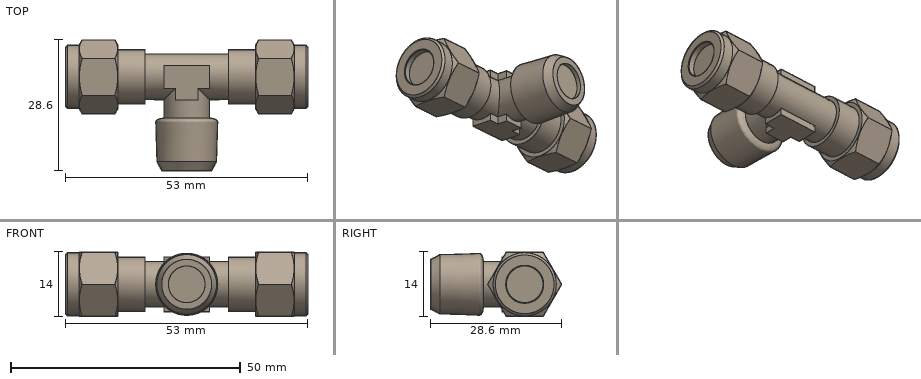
import cadquery as cq
import math

run_half_length = 26.5
tube_radius = 5.0
collar_start = 9.1
collar_radius = 5.95

nut_start = 15.0
nut_end = 23.5
nut_across_flats = 14.0
nut_sides = 6
nut_corner_radius = nut_across_flats / 2 / math.cos(math.pi / nut_sides)
nut_bevel_radius = 6.9
nut_bevel_angle = 30.0
rim_radius = 6.9
rim_chamfer = 0.5

branch_length = 20.5
thread_start = 9.0
thread_shoulder = 0.9
thread_taper = 1 / 32
thread_large_radius = 6.78
thread_tip_length = 2.0
thread_tip_radius = 5.45

bore_radius = 4.0
run_bore_depth = 1.5
run_bore_chamfer = 0.15
branch_bore_depth = 1.0

pad_half_width = 5.0
pad_stem_half_width = 2.5
pad_half_height = 6.0


def revolve_about_x(profile):
    """Turn a closed (x, radius) outline about the X axis."""
    return cq.Workplane("XY").polyline(profile).close().revolve(360, (0, 0, 0), (1, 0, 0))


def make_nut():
    """Hexagon with corners on +/-Y, bevelled at both ends, on the +X end."""
    hexagon = (
        cq.Workplane("YZ")
        .workplane(offset=nut_start)
        .polygon(nut_sides, 2 * nut_corner_radius)
        .extrude(nut_end - nut_start)
    )
    bevel_length = (nut_corner_radius - nut_bevel_radius) * math.tan(math.radians(nut_bevel_angle))
    bevel_envelope = revolve_about_x([
        (nut_start, 0),
        (nut_start, nut_bevel_radius),
        (nut_start + bevel_length, nut_corner_radius),
        (nut_end - bevel_length, nut_corner_radius),
        (nut_end, nut_bevel_radius),
        (nut_end, 0),
    ])
    return hexagon.intersect(bevel_envelope)


def make_run_body():
    """Plain turned run along X, symmetric about X = 0: tube, collars and end rims."""
    right_side = [
        (collar_start, tube_radius),
        (collar_start, collar_radius),
        (nut_end, collar_radius),
        (nut_end, rim_radius),
        (run_half_length - rim_chamfer, rim_radius),
        (run_half_length, rim_radius - rim_chamfer),
        (run_half_length, 0),
    ]
    left_side = [(-x, radius) for x, radius in reversed(right_side)]
    return revolve_about_x(left_side + right_side)


def make_run_bore():
    """Blind bore with a chamfered mouth in the +X end of the run."""
    return revolve_about_x([
        (run_half_length - run_bore_depth, 0),
        (run_half_length - run_bore_depth, bore_radius),
        (run_half_length - run_bore_chamfer, bore_radius),
        (run_half_length, bore_radius + run_bore_chamfer),
        (run_half_length, 0),
    ])


def make_branch():
    """Neck and tapered thread body pointing along -Y, with a blind bore."""
    taper_start = thread_start + thread_shoulder
    taper_end = branch_length - thread_tip_length
    thread_small_radius = thread_large_radius - thread_taper * (taper_end - taper_start)
    bore_floor = branch_length - branch_bore_depth
    shoulder_height = thread_large_radius - tube_radius
    return (
        cq.Workplane("XY")
        .lineTo(tube_radius, 0)
        .lineTo(tube_radius, -thread_start)
        .ellipseArc(shoulder_height, thread_shoulder, 0, 90, sense=-1)
        .lineTo(thread_small_radius, -taper_end)
        .lineTo(thread_tip_radius, -branch_length)
        .lineTo(bore_radius, -branch_length)
        .lineTo(bore_radius, -bore_floor)
        .lineTo(0, -bore_floor)
        .close()
        .revolve(360, (0, 0, 0), (0, 1, 0))
    )


def make_pads():
    """T-shaped prism through the junction whose ends form the top and bottom pads."""
    crossbar = cq.Workplane("XY").box(
        2 * pad_half_width, 2 * pad_stem_half_width, 2 * pad_half_height
    )
    stem = cq.Workplane("XY").box(
        2 * pad_stem_half_width, pad_half_width, 2 * pad_half_height
    ).translate((0, -pad_half_width / 2, 0))
    return crossbar.union(stem)


nut = make_nut()
run_bore = make_run_bore()
run = (
    make_run_body()
    .union(nut)
    .union(nut.mirror("YZ"))
    .cut(run_bore)
    .cut(run_bore.mirror("YZ"))
)
result = run.union(make_branch()).union(make_pads())